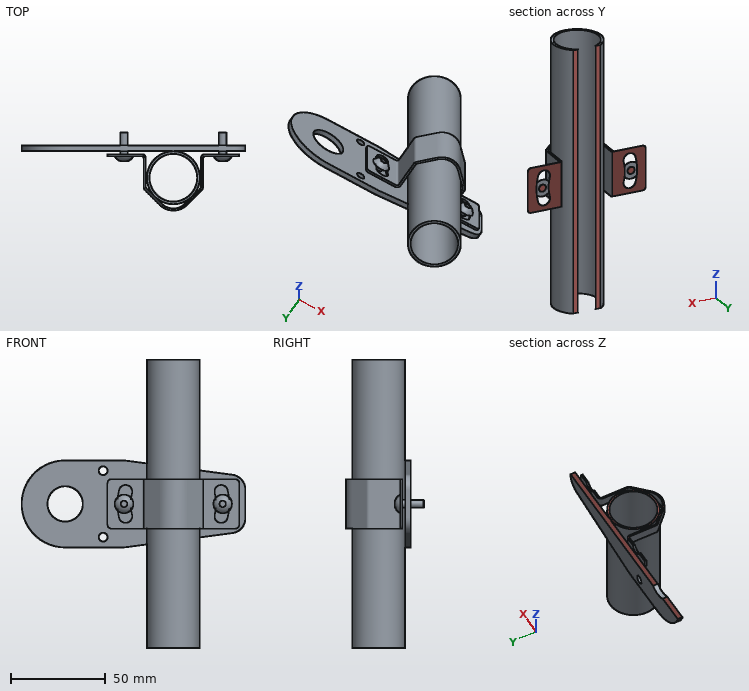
import cadquery as cq
import math


TUBE_RADIUS = 14.0
TUBE_BORE_RADIUS = 12.5
TUBE_LENGTH = 152.0

PLATE_THICKNESS = 3.0
PLATE_FRONT_Y = TUBE_RADIUS
PLATE_BACK_Y = PLATE_FRONT_Y + PLATE_THICKNESS
PLATE_LEFT_X = -80.0
PLATE_RIGHT_X = 38.0
PLATE_END_RADIUS = 23.0
PLATE_END_CENTRE_X = PLATE_LEFT_X + PLATE_END_RADIUS
PLATE_TAPER_START_X = -26.0
PLATE_TIP_HALF_HEIGHT = 14.5
PLATE_TAPER_BLEND_RADIUS = 20.0
PLATE_TIP_RADIUS = 8.0
PLATE_MAIN_HOLE_DIAMETER = 18.5
PLATE_SMALL_HOLE_DIAMETER = 4.5
PLATE_SMALL_HOLE_X = -37.0
PLATE_SMALL_HOLE_Z = 17.5

STRAP_THICKNESS = 1.2
STRAP_WIDTH = 26.0
STRAP_SIDE_X = 15.7
STRAP_END_X = 34.7
STRAP_GAP_TO_PLATE = 1.5
STRAP_FLANGE_BACK_Y = PLATE_FRONT_Y - STRAP_GAP_TO_PLATE
STRAP_FLANGE_FRONT_Y = STRAP_FLANGE_BACK_Y - STRAP_THICKNESS
STRAP_SLOPE_OFFSET = TUBE_RADIUS + STRAP_THICKNESS
STRAP_NOSE_RADIUS = 10.0
STRAP_BEND_RADIUS = 2.2
STRAP_CORNER_RADIUS = 2.0

SLOT_ARC_RADIUS = 26.0
SLOT_WIDTH = 7.0
SLOT_LENGTH = 20.0

SCREW_X = SLOT_ARC_RADIUS
SCREW_DIAMETER = 4.2
SCREW_END_Y = 24.0
SCREW_END_CHAMFER = 0.4
HEAD_RADIUS = 4.9
HEAD_HEIGHT = 2.7
HEAD_TOP_RADIUS = 1.7
SOCKET_DEPTH = 1.5

EDGE_MARGIN = 0.1


def make_tube():
    """Plain round tube, centred along Z."""
    return (
        cq.Workplane("XY", origin=(0, 0, -TUBE_LENGTH / 2))
        .circle(TUBE_RADIUS)
        .circle(TUBE_BORE_RADIUS)
        .extrude(TUBE_LENGTH)
    )


def make_plate_blank():
    """Plate with a round left end and sides that taper to a rounded tip."""
    top = PLATE_END_RADIUS
    blank = (
        cq.Workplane("XZ", origin=(0, PLATE_BACK_Y, 0))
        .moveTo(PLATE_END_CENTRE_X, top)
        .lineTo(PLATE_TAPER_START_X, top)
        .lineTo(PLATE_RIGHT_X, PLATE_TIP_HALF_HEIGHT)
        .lineTo(PLATE_RIGHT_X, -PLATE_TIP_HALF_HEIGHT)
        .lineTo(PLATE_TAPER_START_X, -top)
        .lineTo(PLATE_END_CENTRE_X, -top)
        .threePointArc((PLATE_LEFT_X, 0), (PLATE_END_CENTRE_X, top))
        .close()
        .extrude(PLATE_THICKNESS)
    )
    blank = blank.edges("|Y").edges(">X").fillet(PLATE_TIP_RADIUS)
    taper_start = cq.selectors.BoxSelector(
        (PLATE_TAPER_START_X - EDGE_MARGIN, PLATE_FRONT_Y, -top - EDGE_MARGIN),
        (PLATE_TAPER_START_X + EDGE_MARGIN, PLATE_BACK_Y, top + EDGE_MARGIN),
    )
    return blank.edges("|Y").edges(taper_start).fillet(PLATE_TAPER_BLEND_RADIUS)


def make_screw(x):
    """Button-head screw along Y, its head bearing on the strap flange."""
    shank_radius = SCREW_DIAMETER / 2
    head_front_y = STRAP_FLANGE_FRONT_Y - HEAD_HEIGHT
    drop = (HEAD_RADIUS**2 - HEAD_TOP_RADIUS**2 - HEAD_HEIGHT**2) / (2 * HEAD_HEIGHT)
    sphere_radius = math.hypot(HEAD_RADIUS, drop)
    half_height = HEAD_HEIGHT / 2
    dome_middle = (
        math.sqrt(sphere_radius**2 - (drop + half_height) ** 2),
        STRAP_FLANGE_FRONT_Y - half_height,
    )
    profile = (
        cq.Workplane("XY")
        .moveTo(0, SCREW_END_Y)
        .lineTo(shank_radius - SCREW_END_CHAMFER, SCREW_END_Y)
        .lineTo(shank_radius, SCREW_END_Y - SCREW_END_CHAMFER)
        .lineTo(shank_radius, STRAP_FLANGE_FRONT_Y)
        .lineTo(HEAD_RADIUS, STRAP_FLANGE_FRONT_Y)
        .threePointArc(dome_middle, (HEAD_TOP_RADIUS, head_front_y))
        .lineTo(HEAD_TOP_RADIUS, head_front_y + SOCKET_DEPTH)
        .lineTo(0, head_front_y + SOCKET_DEPTH)
        .close()
    )
    return profile.revolve(360, (0, 0, 0), (0, 1, 0)).translate((x, 0, 0))


def make_plate():
    """Mounting plate together with the two screws fixed in it."""
    small_holes = [(PLATE_SMALL_HOLE_X, side * PLATE_SMALL_HOLE_Z) for side in (-1, 1)]
    holes = (
        cq.Workplane("XZ", origin=(0, PLATE_BACK_Y, 0))
        .pushPoints(small_holes)
        .circle(PLATE_SMALL_HOLE_DIAMETER / 2)
        .extrude(PLATE_THICKNESS)
    )
    main_hole = (
        cq.Workplane("XZ", origin=(PLATE_END_CENTRE_X, PLATE_BACK_Y, 0))
        .circle(PLATE_MAIN_HOLE_DIAMETER / 2)
        .extrude(PLATE_THICKNESS)
    )
    plate = make_plate_blank().cut(holes).cut(main_hole)
    for side in (-1, 1):
        plate = plate.union(make_screw(side * SCREW_X))
    return plate


def round_bends(body, corner_x, corner_y, radius):
    """Round the pair of edges along Z at (+-corner_x, corner_y)."""
    for x in (-corner_x, corner_x):
        corner = cq.selectors.BoxSelector(
            (x - EDGE_MARGIN, corner_y - EDGE_MARGIN, -STRAP_WIDTH),
            (x + EDGE_MARGIN, corner_y + EDGE_MARGIN, STRAP_WIDTH),
        )
        body = body.edges("|Z").edges(corner).fillet(radius)
    return body


def strap_region(inset):
    """Solid bounded by the strap's outer surface moved inwards by inset.

    It is a pocket round the tube, open at the back, with 45 degree slopes and a round nose.
    """
    side_x = STRAP_SIDE_X - inset
    slope_sum = (STRAP_SLOPE_OFFSET - inset) * math.sqrt(2)
    nose_radius = STRAP_NOSE_RADIUS - inset
    nose_centre_y = -(STRAP_SLOPE_OFFSET - STRAP_NOSE_RADIUS) * math.sqrt(2)
    tangent_x = nose_radius * math.sqrt(0.5)
    tangent_y = nose_centre_y - tangent_x
    shoulder_y = side_x - slope_sum
    pocket = (
        cq.Workplane("XY", origin=(0, 0, -STRAP_WIDTH / 2))
        .moveTo(-side_x, STRAP_FLANGE_BACK_Y)
        .lineTo(-side_x, shoulder_y)
        .lineTo(-tangent_x, tangent_y)
        .threePointArc((0, nose_centre_y - nose_radius), (tangent_x, tangent_y))
        .lineTo(side_x, shoulder_y)
        .lineTo(side_x, STRAP_FLANGE_BACK_Y)
        .close()
        .extrude(STRAP_WIDTH)
    )
    return round_bends(pocket, side_x, shoulder_y, STRAP_BEND_RADIUS - inset)


def make_slot(side):
    """Slot cutter whose centreline is an arc about the Y axis; side is -1 or 1."""
    end_radius = SLOT_WIDTH / 2
    half_angle = math.asin((SLOT_LENGTH / 2 - end_radius) / SLOT_ARC_RADIUS)

    def point(radius, angle):
        return (side * radius * math.cos(angle), radius * math.sin(angle))

    outer = SLOT_ARC_RADIUS + end_radius
    inner = SLOT_ARC_RADIUS - end_radius
    cap_angle = half_angle + end_radius / SLOT_ARC_RADIUS
    return (
        cq.Workplane("XZ", origin=(0, STRAP_FLANGE_BACK_Y, 0))
        .moveTo(*point(outer, -half_angle))
        .threePointArc(point(outer, 0), point(outer, half_angle))
        .threePointArc(point(SLOT_ARC_RADIUS, cap_angle), point(inner, half_angle))
        .threePointArc(point(inner, 0), point(inner, -half_angle))
        .threePointArc(point(SLOT_ARC_RADIUS, -cap_angle), point(outer, -half_angle))
        .close()
        .extrude(STRAP_THICKNESS)
    )


def make_strap():
    """Flanged strap: a sheet that follows the pocket outline, with a slot in each flange."""
    flange = (
        cq.Workplane("XY")
        .box(2 * STRAP_END_X, STRAP_THICKNESS, STRAP_WIDTH)
        .translate((0, STRAP_FLANGE_BACK_Y - STRAP_THICKNESS / 2, 0))
        .edges("|Y")
        .fillet(STRAP_CORNER_RADIUS)
    )
    strap = flange.union(strap_region(0)).cut(strap_region(STRAP_THICKNESS))
    inside_x = STRAP_SIDE_X - STRAP_THICKNESS
    strap = round_bends(strap, STRAP_SIDE_X, STRAP_FLANGE_FRONT_Y, STRAP_BEND_RADIUS - STRAP_THICKNESS)
    strap = round_bends(strap, inside_x, STRAP_FLANGE_BACK_Y, STRAP_BEND_RADIUS)
    for side in (-1, 1):
        strap = strap.cut(make_slot(side))
    return strap


tube = make_tube()
plate = make_plate()
strap = make_strap()

result = cq.Compound.makeCompound([tube.val(), *plate.solids().vals(), *strap.solids().vals()])